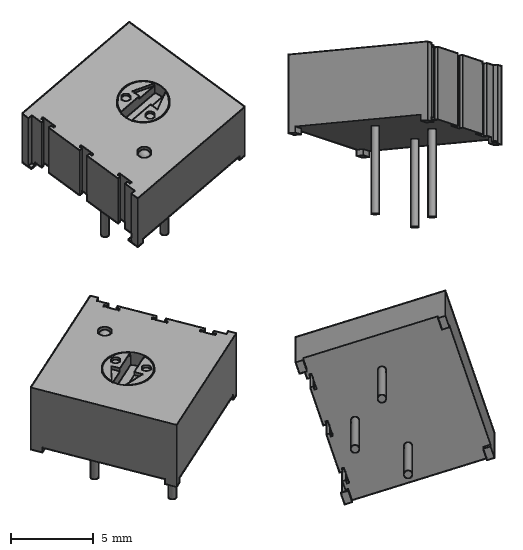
import cadquery as cq


side = 9.53
height = 4.83
standoff = 0.37
foot_x = 0.77
foot_y = 0.48

post_width = 0.53
panel_depth = 0.30
foot_ledge_height = 0.11

groove_head_width = 1.01
groove_head_depth = 0.65
groove_lip_depth = 0.51
side_groove_x = 3.145
side_neck_width = 0.57
center_neck_width = 0.60

rotor_y = 0.87
rotor_radius = 1.60
ring_gap = 0.05
ring_depth = 0.30
slot_width = 0.93
slot_depth = 1.00
arrow_half_width = 1.03
arrow_base_y = 0.15
arrow_depth = 0.25
rotor_hole_x = 1.00
rotor_hole_y = -0.47
rotor_hole_diameter = 0.58
rotor_hole_depth = 0.20

well_x = 2.66
well_y = -1.92
well_radius = 0.43
dome_base_depth = well_radius

pin_pitch = 2.54
pin_diameter = 0.51
pin_length = 5.00
pin_positions = [(-pin_pitch, 0), (0, -pin_pitch), (pin_pitch, 0)]

front_y = -side / 2


def upright_box(width, depth, z_bottom, z_top, x_center, y_front):
    """Box standing on z_bottom, centred on x_center, reaching back from y_front."""
    box = cq.Workplane("XY").box(width, depth, z_top - z_bottom, centered=(True, False, False))
    return box.translate((x_center, y_front, z_bottom))


def make_housing():
    body = upright_box(side, side, 0, height, 0, front_y)
    body = body.cut(upright_box(side - 2 * foot_x, side, 0, standoff, 0, front_y))
    body = body.cut(upright_box(side, side - 2 * foot_y, 0, standoff, 0, front_y + foot_y))
    panel_width = side - 2 * post_width
    return body.cut(upright_box(panel_width, panel_depth, foot_ledge_height, height, 0, front_y))


def t_groove(x_center, neck_width):
    neck = upright_box(neck_width, groove_head_depth, 0, height, x_center, front_y)
    head_length = groove_head_depth - groove_lip_depth
    head = upright_box(groove_head_width, head_length, 0, height, x_center, front_y + groove_lip_depth)
    return neck.union(head)


def rotor_plane():
    return cq.Workplane("XY", origin=(0, rotor_y, height))


def cut_rotor(body):
    inner_radius = rotor_radius - ring_gap
    ring = rotor_plane().circle(rotor_radius).circle(inner_radius).extrude(-ring_depth)
    slot = rotor_plane().rect(slot_width, 2 * rotor_radius).extrude(-slot_depth)
    slot = slot.intersect(rotor_plane().circle(rotor_radius).extrude(-slot_depth))

    tip_x = slot_width / 2
    tip_y = (inner_radius**2 - tip_x**2) ** 0.5
    arrow_outline = [
        (-arrow_half_width, arrow_base_y),
        (-tip_x, tip_y),
        (tip_x, tip_y),
        (arrow_half_width, arrow_base_y),
    ]
    arrow = rotor_plane().polyline(arrow_outline).close().extrude(-arrow_depth)
    arrow = arrow.intersect(rotor_plane().circle(rotor_radius).extrude(-arrow_depth))

    hole_centers = [(-rotor_hole_x, rotor_hole_y), (rotor_hole_x, rotor_hole_y)]
    holes = rotor_plane().pushPoints(hole_centers).circle(rotor_hole_diameter / 2).extrude(-rotor_hole_depth)
    return body.cut(ring).cut(slot).cut(arrow).cut(holes)


def cut_well(body):
    base = cq.Workplane("XY", origin=(well_x, well_y, height - dome_base_depth))
    hole = base.circle(well_radius).extrude(dome_base_depth)
    return body.cut(hole.cut(base.sphere(well_radius)))


def make_pins():
    plane = cq.Workplane("XY", origin=(0, 0, standoff))
    return plane.pushPoints(pin_positions).circle(pin_diameter / 2).extrude(-(standoff + pin_length))


result = make_housing()
result = result.cut(t_groove(-side_groove_x, side_neck_width))
result = result.cut(t_groove(0, center_neck_width))
result = result.cut(t_groove(side_groove_x, side_neck_width))
result = cut_rotor(result)
result = cut_well(result)
result = result.union(make_pins())